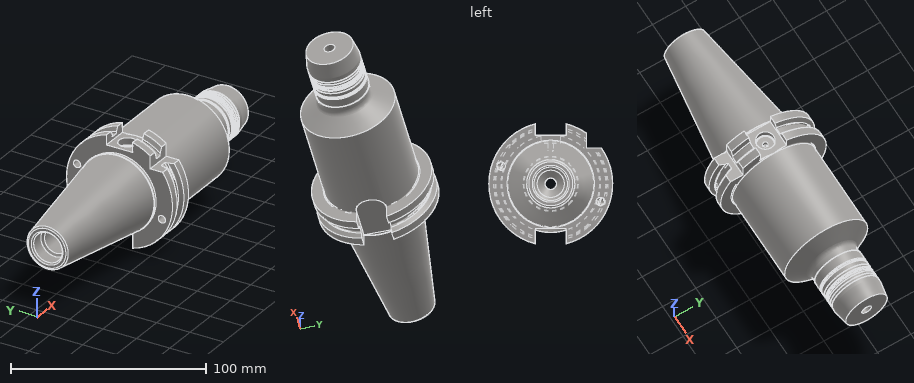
import cadquery as cq
import math

total_length = 178.4

taper_ratio = 7 / 24
taper_small_radius = 12.3
taper_end_x = 69.4
rear_chamfer_length = 0.5
rear_chamfer_height = 1.0
relief_radius = 22.0

flange_start_x = 71.5
flange_end_x = 87.5
flange_radius = 31.8
flange_mid_x = (flange_start_x + flange_end_x) / 2

groove_floor_radius = 28.2
groove_mouth_half_width = 3.4
groove_floor_half_width = 2.0
groove_half_angle = 30.0
groove_fillet = 0.5

slot_width = 15.7
top_slot_floor = 25.0
bottom_slot_floor = 22.8
notch_offset = 18.4

recess_radius = 5.0
recess_depth = 4.5
recess_floor_chamfer = 0.4
pilot_radius = 1.5
pilot_depth = 3.5

coolant_circle_radius = 27.0
coolant_hole_radius = 2.1
coolant_angle = 19.6

drill_tip_half_angle = 59.0
cutter_clearance = 1.8

edge_tolerance = 0.09

body_radius = 25.0
body_fillet = 0.5
shoulder_start_x = 139.0
shoulder_angle = 30.0
neck_radius = 13.7
neck_fillet = 2.9
neck_end_x = 150.2

mouth_radius = 9.5
mouth_depth = 0.9
counterbore_radius = 8.5
counterbore_depth = 8.0
counterbore_taper_length = 0.9
thread_bore_radius = 7.0
thread_bore_depth = 30.3
through_bore_radius = 2.9

sleeve_radius = 14.1
sleeve_groove_depth = 0.4
sleeve_groove_spans = [(156.1, 157.0), (159.7, 161.1), (162.9, 164.0), (165.5, 167.2)]
sleeve_bevel_length = 0.5
sleeve_bevel_height = 0.27
sleeve_cone_start_x = 169.8
sleeve_tip_radius = 12.5


def tip_length(radius):
    """Length of a drilled cone that narrows from the given radius to a point."""
    return radius / math.tan(math.radians(drill_tip_half_angle))


def revolve_about_x(points):
    """Solid of revolution about X from (x, radius) points."""
    return cq.Workplane("XZ").polyline(points).close().revolve(360, (0, 0, 0), (1, 0, 0))


def ring_at(x, radius):
    """Selector for the circular edge about X at the given place and radius."""
    reach = radius + edge_tolerance
    low_corner = (x - edge_tolerance, -reach, -reach)
    high_corner = (x + edge_tolerance, reach, reach)
    return cq.selectors.BoxSelector(low_corner, high_corner, boundingbox=True)


def drill(radius, depth):
    """Drill-shaped cutter along +X from the origin, with a pointed end."""
    tip = depth + tip_length(radius)
    return revolve_about_x([(0, 0), (0, radius), (depth, radius), (tip, 0)])


def make_turned_blank():
    taper_large_radius = taper_small_radius + (taper_end_x - rear_chamfer_length) * taper_ratio / 2
    shoulder_length = (body_radius - neck_radius) * math.tan(math.radians(shoulder_angle))
    shoulder_end_x = shoulder_start_x + shoulder_length
    blank = revolve_about_x([
        (0, 0),
        (0, taper_small_radius - rear_chamfer_height),
        (rear_chamfer_length, taper_small_radius),
        (taper_end_x, taper_large_radius),
        (taper_end_x, relief_radius),
        (flange_start_x, relief_radius),
        (flange_start_x, flange_radius),
        (flange_end_x, flange_radius),
        (flange_end_x, body_radius),
        (shoulder_start_x, body_radius),
        (shoulder_end_x, neck_radius),
        (neck_end_x, neck_radius),
        (neck_end_x, 0),
    ])
    blank = blank.edges(ring_at(shoulder_end_x, neck_radius)).fillet(neck_fillet)
    return blank.edges(ring_at(flange_end_x, body_radius)).fillet(body_fillet)


def make_v_groove():
    flank_height = (groove_mouth_half_width - groove_floor_half_width) / math.tan(
        math.radians(groove_half_angle)
    )
    flank_foot = flange_radius - flank_height
    outer = flange_radius + cutter_clearance
    ring = revolve_about_x([
        (flange_mid_x - groove_mouth_half_width, outer),
        (flange_mid_x - groove_mouth_half_width, flange_radius),
        (flange_mid_x - groove_floor_half_width, flank_foot),
        (flange_mid_x - groove_floor_half_width, groove_floor_radius),
        (flange_mid_x + groove_floor_half_width, groove_floor_radius),
        (flange_mid_x + groove_floor_half_width, flank_foot),
        (flange_mid_x + groove_mouth_half_width, flange_radius),
        (flange_mid_x + groove_mouth_half_width, outer),
    ])
    for side in (-1, 1):
        corner = ring_at(flange_mid_x + side * groove_floor_half_width, groove_floor_radius)
        ring = ring.edges(corner).fillet(groove_fillet)
    return ring


def make_drive_slot(floor_height):
    """Slot cutter open to the rear, with a round end centred on the front face of the flange."""
    height = flange_radius - floor_height + cutter_clearance
    length = flange_end_x - flange_start_x
    straight = cq.Workplane("XY").box(length, slot_width, height, centered=(False, True, False))
    straight = straight.translate((flange_start_x, 0, floor_height))
    round_end = cq.Workplane("XY", origin=(flange_end_x, 0, floor_height))
    return straight.union(round_end.circle(slot_width / 2).extrude(height))


def make_orientation_notch():
    size = flange_radius
    length = flange_end_x - flange_start_x
    notch = cq.Workplane("XY").box(length, size, size, centered=False)
    return notch.translate((flange_start_x, -notch_offset - size, notch_offset))


def make_slot_recess():
    recess_floor = top_slot_floor - recess_depth
    recess = (
        cq.Workplane("XY", origin=(flange_mid_x, 0, recess_floor))
        .circle(recess_radius)
        .extrude(recess_depth)
        .faces("<Z").chamfer(recess_floor_chamfer)
    )
    pilot = drill(pilot_radius, pilot_depth).rotate((0, 0, 0), (0, 1, 0), 90)
    return recess.union(pilot.translate((flange_mid_x, 0, recess_floor)))


def make_coolant_port(angle):
    axial_depth = flange_mid_x - flange_start_x
    axial_hole = drill(coolant_hole_radius, axial_depth)
    axial_hole = axial_hole.translate((flange_start_x, coolant_circle_radius, 0))
    radial_depth = flange_radius - coolant_circle_radius
    radial_hole = drill(coolant_hole_radius, radial_depth).rotate((0, 0, 0), (0, 0, 1), -90)
    radial_hole = radial_hole.translate((flange_mid_x, flange_radius, 0))
    return axial_hole.union(radial_hole).rotate((0, 0, 0), (1, 0, 0), angle)


def make_bore():
    taper_end = counterbore_depth + counterbore_taper_length
    cone_end = thread_bore_depth + tip_length(thread_bore_radius - through_bore_radius)
    return revolve_about_x([
        (0, 0),
        (0, mouth_radius),
        (mouth_depth, counterbore_radius),
        (counterbore_depth, counterbore_radius),
        (taper_end, thread_bore_radius),
        (thread_bore_depth, thread_bore_radius),
        (cone_end, through_bore_radius),
        (neck_end_x, through_bore_radius),
        (neck_end_x, 0),
    ])


def make_housing():
    housing = make_turned_blank().cut(make_v_groove())
    housing = housing.cut(make_drive_slot(top_slot_floor))
    bottom_slot = make_drive_slot(bottom_slot_floor).rotate((0, 0, 0), (1, 0, 0), 180)
    housing = housing.cut(bottom_slot)
    housing = housing.cut(make_orientation_notch())
    housing = housing.cut(make_slot_recess())
    for angle in (coolant_angle, coolant_angle + 180):
        housing = housing.cut(make_coolant_port(angle))
    return housing.cut(make_bore())


def make_sleeve_groove(start_x, end_x, bevel_start=False, bevel_end=False):
    """Ring cutter, optionally bevelling the land beside its start or end."""
    floor = sleeve_radius - sleeve_groove_depth
    foot = sleeve_radius - sleeve_bevel_height
    points = [(start_x, floor)]
    if bevel_start:
        points += [(start_x, foot), (start_x - sleeve_bevel_length, sleeve_radius)]
    else:
        points += [(start_x, sleeve_radius)]
    if bevel_end:
        points += [(end_x + sleeve_bevel_length, sleeve_radius), (end_x, foot)]
    else:
        points += [(end_x, sleeve_radius)]
    points += [(end_x, floor)]
    return revolve_about_x(points)


def make_sleeve():
    sleeve = revolve_about_x([
        (neck_end_x, through_bore_radius),
        (neck_end_x, sleeve_radius),
        (sleeve_cone_start_x, sleeve_radius),
        (total_length, sleeve_tip_radius),
        (total_length, through_bore_radius),
    ])
    first, second, third, fourth = sleeve_groove_spans
    cutters = [
        make_sleeve_groove(*first, bevel_start=True),
        make_sleeve_groove(*second, bevel_end=True),
        make_sleeve_groove(*third, bevel_start=True),
        make_sleeve_groove(*fourth),
    ]
    for cutter in cutters:
        sleeve = sleeve.cut(cutter)
    return sleeve


housing = make_housing()
sleeve = make_sleeve()
result = cq.Compound.makeCompound([housing.val(), sleeve.val()])